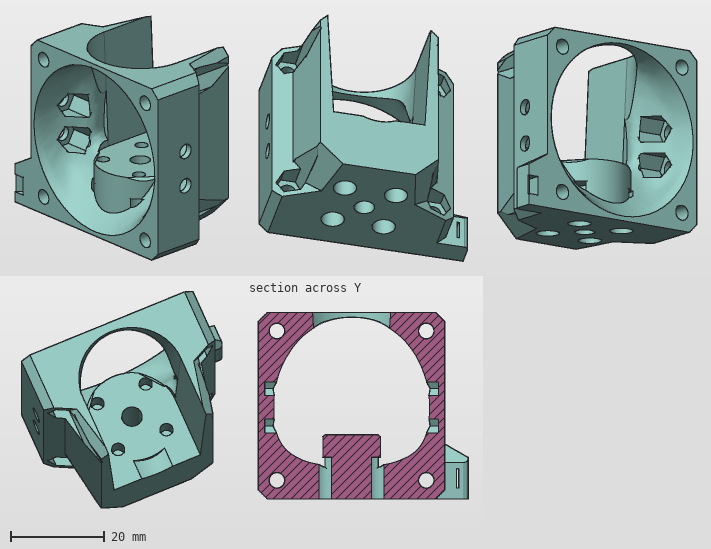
import cadquery as cq
import math


TOTAL_WIDTH = 45
TOTAL_DEPTH = 27.15

FLANGE_SIZE = 40.0
HALF = FLANGE_SIZE / 2
FLANGE_DEPTH = 12.0
FLANGE_CHAMFER = 2.0
SHOULDER_SLOPE = 0.5
SHOULDER_INNER = 10.0

HOUSING_BACK_HALF = 13.0
HOUSING_TAPER = 0.22
TOP_CHAMFER = 2.0
BOTTOM_CHAMFER = 5.0

SCREW_DIAMETER = 3.3
SCREW_SPACING = 32.0
SCREW_OFFSET = SCREW_SPACING / 2
NUT_FLATS = 5.6
NUT_CORNERS = NUT_FLATS / math.cos(math.pi / 6)
NUT_CHANNEL_START = 10.0
RELIEF_RISE = 4.9

CHANNEL_Y = 13.4
CHANNEL_TOP_RADIUS = 11.4
CHANNEL_DRAFT = 2.9
FLOOR_Z = -6.2
PEDESTAL_RADIUS = 9.95
RIM_BEVEL = 0.68
RIM_BEVEL_ANGLE = 52
CENTRE_HOLE_DIAMETER = 4.35
PIN_HOLE_DIAMETER = 2.8
PIN_OFFSET = 5.62
PIN_HOLE_DEPTH = 4.6
COUNTERBORE_DIAMETER = 5.0
COUNTERBORE_DEPTH = 8.9
NOTCH_RADIUS = 8.5
NOTCH_DEPTH = 0.8

FAN_DIAMETER = 38.0
FAN_RADIUS = FAN_DIAMETER / 2
DUCT_POINTS = 40
DUCT_STATIONS = [
    (0, FAN_RADIUS, -FAN_RADIUS, 2),
    (3.4, 17.75, -15.5, 2.3),
    (6.8, 15.75, -11.45, 3.3),
    (10.0, 12.0, -6.75, 4),
    (CHANNEL_Y, CHANNEL_TOP_RADIUS, FLOOR_Z, 4),
]

SIDE_HOLE_Y = 8.05
SIDE_HOLE_SPACING = 8.0
SIDE_HOLE_MIDDLE_Z = -0.35
SIDE_NUT_INNER = 12.0
SIDE_NUT_OUTER = 18.6

TAB_LENGTH = TOTAL_WIDTH - FLANGE_SIZE
TAB_LEFT = -HALF - TAB_LENGTH
TAB_DEPTH = 4.9
TAB_SIDE_HEIGHT = 8.9
TAB_ROOT_HEIGHT = 11.8
TAB_OVERLAP = 2.95
TAB_FILLET = 0.9
TAB_BEVEL_HEIGHT = 12.8
SLOT_WIDTH = 2.48
SLOT_BACK_OPENING = 0.45
SLOT_SIDE_OPENING = 0.25
SLOT_BOTTOM = 2.4
SLOT_HEIGHT = 4.1


def front_plane(y):
    """Plane facing -Y: local x is X, local y is Z; extruding by -d goes d along +Y."""
    return cq.Workplane("XZ", origin=(0, y, 0))


def cylinder_y(diameter, x, z, start, end):
    return front_plane(start).center(x, z).circle(diameter / 2).extrude(start - end)


def make_flange():
    shoulder_y = FLANGE_DEPTH + SHOULDER_SLOPE * (HALF - SHOULDER_INNER)
    plan = [
        (-HALF, 0),
        (HALF, 0),
        (HALF, FLANGE_DEPTH),
        (SHOULDER_INNER, shoulder_y),
        (-SHOULDER_INNER, shoulder_y),
        (-HALF, FLANGE_DEPTH),
    ]
    prism = cq.Workplane("XY").workplane(offset=-HALF).polyline(plan).close().extrude(FLANGE_SIZE)
    face = front_plane(0).rect(FLANGE_SIZE, FLANGE_SIZE).extrude(-TOTAL_DEPTH)
    return prism.intersect(face.edges("|Y").chamfer(FLANGE_CHAMFER))


def housing_outline(y):
    side = HOUSING_BACK_HALF + HOUSING_TAPER * (TOTAL_DEPTH - y)
    right = [
        (side - BOTTOM_CHAMFER, -HALF),
        (side, BOTTOM_CHAMFER - HALF),
        (side, HALF - TOP_CHAMFER),
        (side - TOP_CHAMFER, HALF),
    ]
    left = [(-x, z) for x, z in reversed(right)]
    return cq.Wire.makePolygon([cq.Vector(x, y, z) for x, z in right + left], close=True)


def make_housing():
    ends = [housing_outline(FLANGE_DEPTH), housing_outline(TOTAL_DEPTH)]
    housing = cq.Workplane(cq.Solid.makeLoft(ends, True))
    inner = SCREW_OFFSET - NUT_CORNERS / 2
    spread = RELIEF_RISE / math.tan(math.pi / 3)
    for side in (-1, 1):
        relief = [
            (side * inner, -SCREW_OFFSET),
            (side * (inner + spread), RELIEF_RISE - SCREW_OFFSET),
            (side * HALF, RELIEF_RISE - SCREW_OFFSET),
            (side * HALF, -RELIEF_RISE - SCREW_OFFSET),
            (side * (inner + spread), -RELIEF_RISE - SCREW_OFFSET),
        ]
        housing = housing.cut(front_plane(0).polyline(relief).close().extrude(-TOTAL_DEPTH))
    return housing


def make_tab():
    right = -HALF + TAB_OVERLAP
    root = TAB_ROOT_HEIGHT - HALF
    outline = [
        (TAB_LEFT, -HALF),
        (right, -HALF),
        (right, root),
        (-HALF, root),
        (TAB_LEFT, TAB_SIDE_HEIGHT - HALF),
    ]
    tab = front_plane(0).polyline(outline).close().extrude(-TAB_DEPTH)
    tab = tab.edges("|Z and <X and >Y").fillet(TAB_FILLET)
    bevel_top = TAB_BEVEL_HEIGHT - HALF
    bevel = (
        cq.Workplane("YZ", origin=(TAB_LEFT, 0, 0))
        .polyline([(0, bevel_top), (TAB_DEPTH, bevel_top), (TAB_DEPTH, bevel_top - TAB_DEPTH)])
        .close()
        .extrude(TAB_LENGTH + TAB_OVERLAP)
    )
    return tab.cut(bevel)


def make_tie_slot():
    """Curved passage from the front and left of the tab to its back."""
    right = TAB_LEFT + SLOT_WIDTH
    back_left = right - SLOT_BACK_OPENING
    reach = back_left - TAB_LEFT
    rise = TAB_DEPTH - SLOT_SIDE_OPENING
    bend = math.sqrt(0.5)
    bend_point = (TAB_LEFT + reach * bend, TAB_DEPTH - rise * bend)
    return (
        cq.Workplane("XY", origin=(0, 0, SLOT_BOTTOM - HALF))
        .moveTo(TAB_LEFT, 0)
        .lineTo(TAB_LEFT, SLOT_SIDE_OPENING)
        .threePointArc(bend_point, (back_left, TAB_DEPTH))
        .lineTo(right, TAB_DEPTH)
        .lineTo(right, 0)
        .close()
        .extrude(SLOT_HEIGHT)
    )


def duct_section(y, half_width, bottom_z, squareness):
    """Half ellipse above and half superellipse below."""
    points = []
    for i in range(DUCT_POINTS):
        angle = 2 * math.pi * i / DUCT_POINTS
        c, s = math.cos(angle), math.sin(angle)
        power = 1 if s >= 0 else 2 / squareness
        height = FAN_RADIUS if s >= 0 else -bottom_z
        x = half_width * math.copysign(abs(c) ** power, c)
        z = height * math.copysign(abs(s) ** power, s)
        points.append(cq.Vector(x, y, z))
    return cq.Wire.assembleEdges([cq.Edge.makeSpline(points, periodic=True)])


def make_duct():
    sections = [duct_section(*station) for station in DUCT_STATIONS]
    return cq.Workplane(cq.Solid.makeLoft(sections, False))


def make_channel():
    """U-shaped channel, open at the top and back, narrowing towards the floor."""
    back = TOTAL_DEPTH + CHANNEL_TOP_RADIUS
    return (
        cq.Workplane("XY", origin=(0, 0, HALF))
        .moveTo(-CHANNEL_TOP_RADIUS, back)
        .lineTo(-CHANNEL_TOP_RADIUS, CHANNEL_Y)
        .threePointArc((0, CHANNEL_Y - CHANNEL_TOP_RADIUS), (CHANNEL_TOP_RADIUS, CHANNEL_Y))
        .lineTo(CHANNEL_TOP_RADIUS, back)
        .close()
        .extrude(FLOOR_Z - HALF, taper=CHANNEL_DRAFT)
    )


def upright(diameter, x, y, bottom, height):
    return cq.Workplane("XY", origin=(x, y, bottom)).circle(diameter / 2).extrude(height)


def make_pedestal():
    """Round pedestal with two flat 45 degree bevels on the front of its rim."""
    pedestal = upright(2 * PEDESTAL_RADIUS, 0, CHANNEL_Y, -HALF, FLOOR_Z + HALF)
    front = CHANNEL_Y - PEDESTAL_RADIUS
    wedge = (
        cq.Workplane("YZ", origin=(-PEDESTAL_RADIUS, 0, 0))
        .polyline([(front, FLOOR_Z), (front + RIM_BEVEL, FLOOR_Z), (front, FLOOR_Z - RIM_BEVEL)])
        .close()
        .extrude(2 * PEDESTAL_RADIUS)
    )
    for angle in (-RIM_BEVEL_ANGLE, RIM_BEVEL_ANGLE):
        pedestal = pedestal.cut(wedge.rotate((0, CHANNEL_Y, 0), (0, CHANNEL_Y, 1), angle))
    return pedestal


def cut_fan_screws(body):
    for x in (-SCREW_OFFSET, SCREW_OFFSET):
        for z in (-SCREW_OFFSET, SCREW_OFFSET):
            nut = front_plane(NUT_CHANNEL_START).center(x, z).polygon(6, NUT_CORNERS)
            body = body.cut(cylinder_y(SCREW_DIAMETER, x, z, 0, TOTAL_DEPTH))
            body = body.cut(nut.extrude(NUT_CHANNEL_START - TOTAL_DEPTH))
    return body


def cut_side_screws(body):
    for step in (-0.5, 0.5):
        z = SIDE_HOLE_MIDDLE_Z + step * SIDE_HOLE_SPACING
        hole = cq.Workplane("YZ", origin=(-HALF, SIDE_HOLE_Y, z)).circle(SCREW_DIAMETER / 2)
        body = body.cut(hole.extrude(FLANGE_SIZE))
        for start in (-SIDE_NUT_OUTER, SIDE_NUT_INNER):
            nut = cq.Workplane("YZ", origin=(start, SIDE_HOLE_Y, z)).polygon(6, NUT_CORNERS)
            body = body.cut(nut.extrude(SIDE_NUT_OUTER - SIDE_NUT_INNER))
    return body


def cut_floor_holes(body):
    body = body.cut(upright(CENTRE_HOLE_DIAMETER, 0, CHANNEL_Y, -HALF, FLANGE_SIZE))
    for x in (-PIN_OFFSET, PIN_OFFSET):
        for y in (CHANNEL_Y - PIN_OFFSET, CHANNEL_Y + PIN_OFFSET):
            body = body.cut(upright(PIN_HOLE_DIAMETER, x, y, FLOOR_Z - PIN_HOLE_DEPTH, PIN_HOLE_DEPTH))
            body = body.cut(upright(COUNTERBORE_DIAMETER, x, y, -HALF, COUNTERBORE_DEPTH))
    return body


def make_notch():
    """Shallow trough in the floor between the pedestal and the back."""
    axis_z = FLOOR_Z - NOTCH_DEPTH + NOTCH_RADIUS
    trough = cylinder_y(2 * NOTCH_RADIUS, 0, axis_z, CHANNEL_Y, TOTAL_DEPTH)
    return trough.cut(make_pedestal())


body = make_flange().union(make_housing()).union(make_tab())
body = body.cut(make_duct()).union(make_pedestal())
body = body.cut(make_channel()).cut(make_notch()).cut(make_tie_slot())
body = cut_fan_screws(body)
body = cut_side_screws(body)
result = cut_floor_holes(body)